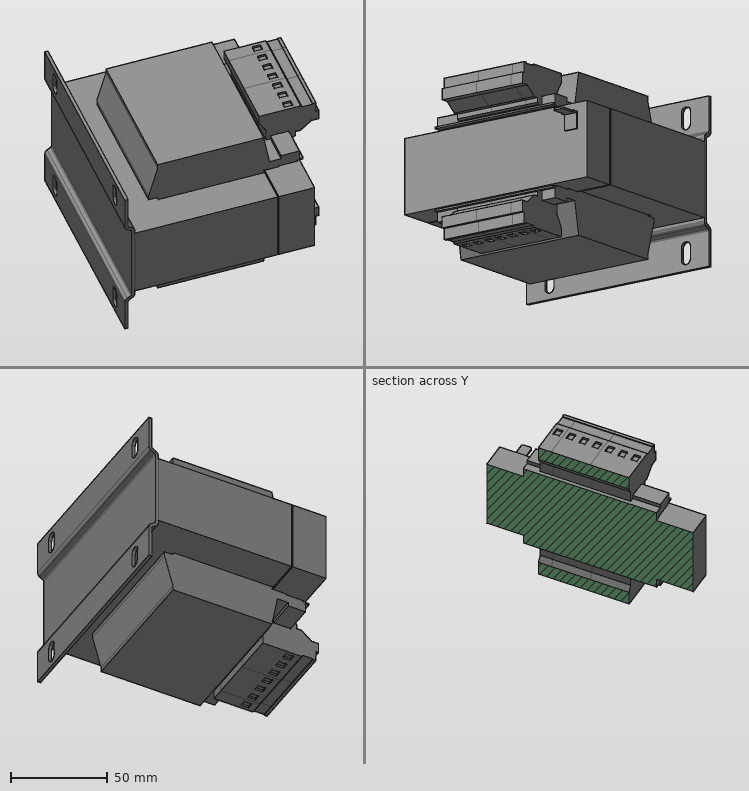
import cadquery as cq
import math

WIDTH = 120.0

CORE_FRONT = 5.6
CORE_BACK = 105.2
CORE_HALF_HEIGHT = 20.6
JOINT_Y = 85.2
JOINT_GROOVE = 0.5
WINDOW_FRONT = 25.8
WINDOW_HALF_WIDTH = 40.3

COIL_HALF_WIDTH = 38.7
COIL_TOP = 44.0
COIL_FRONT = 21.0
COIL_TOP_FRONT = 26.1
COIL_TOP_BACK = 84.8
FRONT_SLOPE_BOTTOM = 23.2
FRONT_SLOPE_TOP = 41.5
FLANGE_FRONT = 88.1
FLANGE_TOP = 26.0
RAIL_FRONT = 94.5
RAIL_BACK = 104.7
RAIL_TOP = 28.1
LIP_BACK = 106.7
LIP_BOTTOM = 21.8
LIP_TOP = 22.8
RELIEF_FRONT = 93.3
RELIEF_BACK = 103.5
RELIEF_HEIGHT = 0.6

TERMINAL_BACK = 121.3
TERMINAL_FRONT = 88.2
TERMINAL_LEFT = -30.0
TERMINAL_BOTTOM = 23.0
NECK_FRONT = 92.1
NECK_SLOPE_BOTTOM = 32.4
NECK_SLOPE_TOP = 38.9
HEEL_BACK = 108.5
HEEL_TOP = 26.6
HEEL_CHAMFER = 1.0
UNDERCUT_START = 111.1
UNDERCUT_END = 117.2
NOSE_BOTTOM = 31.5
NOSE_TOP = 37.6
RIDGE_BACK = 119.7
RIDGE_FRONT = 117.9
RIDGE_TOP = 43.5
GROOVE_FLOOR = 43.1
GROOVE_FRONT = 112.1
TERMINAL_TOP_BACK = 111.2
POLE_PITCH = 7.5
BLOCK_POLES = (1, 3, 3)
POCKET_WIDTH = 3.5
POCKET_LENGTH = 4.5
POCKET_Y = 105.4
POCKET_DEPTH = 1.2

TAB_X = -49.9
TAB_THICKNESS = 1.0
TAB_BASE_WIDTH = 7.8
TAB_BOTTOM = 6.4
TAB_TOP = 15.9
TAB_SHOULDER = 108.7
TAB_TIP = 116.9
BLADE_WIDTH = 6.0
TIP_RADIUS = 1.2

SHEET = 1.8
FOOT_HALF_HEIGHT = 46.0
WEB_FRONT = CORE_FRONT - SHEET
BEND_START = 22.5
BEND_RADIUS = 1.0
BEND_ANGLE = math.radians(58)
SLOT_SPACING_X = 89.8
SLOT_SPACING_Z = 72.8
SLOT_LENGTH = 12.4
SLOT_WIDTH = 6.0


def box(x, y, z):
    """Box between the given (low, high) limits on each axis."""
    size = (x[1] - x[0], y[1] - y[0], z[1] - z[0])
    return cq.Workplane("XY").box(*size, centered=False).translate((x[0], y[0], z[0]))


def prism(points, left, right):
    """Closed (Y, Z) outline extruded along X."""
    return cq.Workplane("YZ").workplane(offset=left).polyline(points).close().extrude(right - left)


def with_mirror(half):
    """Add the copy mirrored through the middle plane."""
    return half.union(half.mirror("XY"))


def make_core():
    y_limits = (CORE_FRONT, CORE_BACK)
    z_limits = (-CORE_HALF_HEIGHT, CORE_HALF_HEIGHT)
    core = box((-WIDTH / 2, WIDTH / 2), y_limits, z_limits)

    for inner, outer in ((-WINDOW_HALF_WIDTH, -COIL_HALF_WIDTH), (COIL_HALF_WIDTH, WINDOW_HALF_WIDTH)):
        core = core.cut(box((inner, outer), (WINDOW_FRONT, JOINT_Y), z_limits))

    joint_limits = (JOINT_Y - JOINT_GROOVE / 2, JOINT_Y + JOINT_GROOVE / 2)
    half_width = WIDTH / 2 - JOINT_GROOVE
    half_height = CORE_HALF_HEIGHT - JOINT_GROOVE
    ring = box((-WIDTH / 2, WIDTH / 2), joint_limits, z_limits)
    ring = ring.cut(box((-half_width, half_width), joint_limits, (-half_height, half_height)))
    return core.cut(ring)


def make_upper_coil():
    relief_top = CORE_HALF_HEIGHT + RELIEF_HEIGHT
    outline = [
        (COIL_FRONT, CORE_HALF_HEIGHT),
        (COIL_FRONT, FRONT_SLOPE_BOTTOM),
        (COIL_TOP_FRONT, FRONT_SLOPE_TOP),
        (COIL_TOP_FRONT, COIL_TOP),
        (COIL_TOP_BACK, COIL_TOP),
        (FLANGE_FRONT, FLANGE_TOP),
        (RAIL_FRONT, FLANGE_TOP),
        (RAIL_FRONT, RAIL_TOP),
        (RAIL_BACK, RAIL_TOP),
        (RAIL_BACK, LIP_TOP),
        (LIP_BACK, LIP_TOP),
        (LIP_BACK, LIP_BOTTOM),
        (RELIEF_BACK, LIP_BOTTOM),
        (RELIEF_BACK, relief_top),
        (RELIEF_FRONT, relief_top),
        (RELIEF_FRONT, CORE_HALF_HEIGHT),
    ]
    return prism(outline, -COIL_HALF_WIDTH, COIL_HALF_WIDTH)


def make_terminal_block(left, poles):
    right = left + poles * POLE_PITCH
    outline = [
        (TERMINAL_FRONT, COIL_TOP),
        (TERMINAL_FRONT, NECK_SLOPE_TOP),
        (NECK_FRONT, NECK_SLOPE_BOTTOM),
        (NECK_FRONT, TERMINAL_BOTTOM),
        (HEEL_BACK - HEEL_CHAMFER, TERMINAL_BOTTOM),
        (HEEL_BACK, TERMINAL_BOTTOM + HEEL_CHAMFER),
        (HEEL_BACK, HEEL_TOP),
        (UNDERCUT_START, HEEL_TOP),
        (UNDERCUT_END, NOSE_BOTTOM),
        (TERMINAL_BACK, NOSE_BOTTOM),
        (TERMINAL_BACK, NOSE_TOP),
        (RIDGE_BACK, NOSE_TOP),
        (RIDGE_BACK, RIDGE_TOP),
        (RIDGE_FRONT, RIDGE_TOP),
        (RIDGE_FRONT, GROOVE_FLOOR),
        (GROOVE_FRONT, GROOVE_FLOOR),
        (TERMINAL_TOP_BACK, COIL_TOP),
    ]
    block = prism(outline, left, right)
    for pole in range(poles):
        x = left + (pole + 0.5) * POLE_PITCH
        block = block.cut(box(
            (x - POCKET_WIDTH / 2, x + POCKET_WIDTH / 2),
            (POCKET_Y - POCKET_LENGTH / 2, POCKET_Y + POCKET_LENGTH / 2),
            (COIL_TOP - POCKET_DEPTH, COIL_TOP),
        ))
    return block


def make_upper_terminals():
    """Blocks side by side, keeping the seams between them."""
    terminals = cq.Workplane("XY")
    left = TERMINAL_LEFT
    for poles in BLOCK_POLES:
        terminals = terminals.add(make_terminal_block(left, poles))
        left += poles * POLE_PITCH
    return terminals.combine(clean=False)


def make_earth_tab():
    base = box(
        (TAB_X - TAB_BASE_WIDTH / 2, TAB_X + TAB_BASE_WIDTH / 2),
        (CORE_BACK, CORE_BACK + TAB_THICKNESS),
        (TAB_BOTTOM, TAB_TOP),
    )
    z_limits = (TAB_TOP - TAB_THICKNESS, TAB_TOP)
    shoulder = box(
        (TAB_X - TAB_BASE_WIDTH / 2, TAB_X + TAB_BASE_WIDTH / 2),
        (CORE_BACK, TAB_SHOULDER),
        z_limits,
    )
    blade = box(
        (TAB_X - BLADE_WIDTH / 2, TAB_X + BLADE_WIDTH / 2),
        (CORE_BACK, TAB_TIP),
        z_limits,
    )
    blade = blade.edges("|Z and >Y").fillet(TIP_RADIUS)
    return base.union(shoulder).union(blade)


def make_upper_foot():
    inner = BEND_RADIUS
    outer = BEND_RADIUS + SHEET
    sine = math.sin(BEND_ANGLE)
    cosine = math.cos(BEND_ANGLE)

    straight = (WEB_FRONT - (inner + outer) * (1 - cosine)) / sine
    bend_end = BEND_START + (inner + outer) * sine + straight * cosine
    web_center_y = WEB_FRONT - inner
    flange_center_y = SHEET + inner

    def web_bend(radius, angle):
        return web_center_y + radius * math.cos(angle), BEND_START + radius * math.sin(angle)

    def flange_bend(radius, angle):
        return flange_center_y - radius * math.cos(angle), bend_end - radius * math.sin(angle)

    half_angle = BEND_ANGLE / 2
    foot = (
        cq.Workplane("YZ").workplane(offset=-WIDTH / 2)
        .moveTo(WEB_FRONT, 0)
        .lineTo(WEB_FRONT, BEND_START)
        .threePointArc(web_bend(inner, half_angle), web_bend(inner, BEND_ANGLE))
        .lineTo(*flange_bend(outer, BEND_ANGLE))
        .threePointArc(flange_bend(outer, half_angle), (0, bend_end))
        .lineTo(0, FOOT_HALF_HEIGHT)
        .lineTo(SHEET, FOOT_HALF_HEIGHT)
        .lineTo(SHEET, bend_end)
        .threePointArc(flange_bend(inner, half_angle), flange_bend(inner, BEND_ANGLE))
        .lineTo(*web_bend(outer, BEND_ANGLE))
        .threePointArc(web_bend(outer, half_angle), (CORE_FRONT, BEND_START))
        .lineTo(CORE_FRONT, 0)
        .close()
        .extrude(WIDTH)
    )
    slots = (
        cq.Workplane("XZ")
        .pushPoints([(x, SLOT_SPACING_Z / 2) for x in (-SLOT_SPACING_X / 2, SLOT_SPACING_X / 2)])
        .slot2D(SLOT_LENGTH, SLOT_WIDTH, 90)
        .extrude(-SHEET)
    )
    return foot.cut(slots)


upper_terminals = make_upper_terminals()
result = make_core().union(make_earth_tab()).union(with_mirror(make_upper_coil()))
for piece in (upper_terminals, upper_terminals.mirror("XY"), with_mirror(make_upper_foot())):
    result = result.union(piece, clean=False)